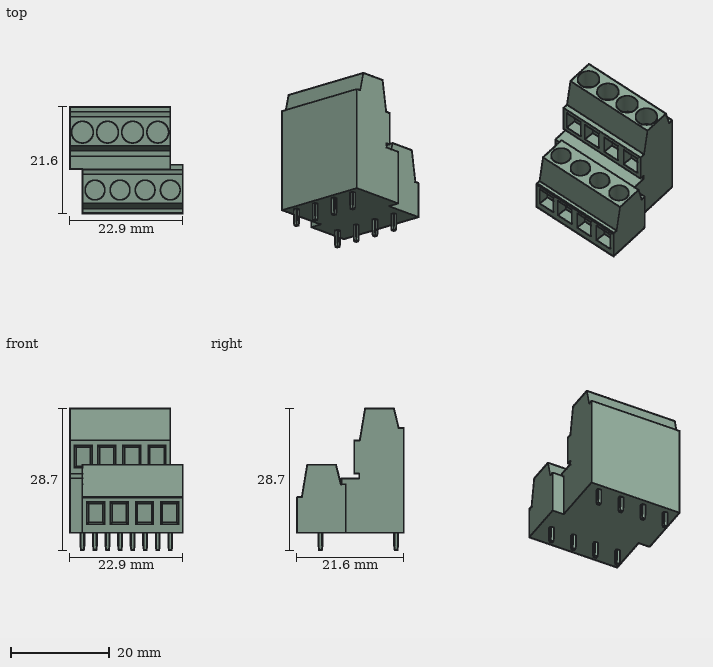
import cadquery as cq
import math


POLES = 4
PITCH = 5.08
TIER_WIDTH = POLES * PITCH
LOWER_TIER_X = PITCH / 2

TOTAL_DEPTH = 21.6
TOTAL_HEIGHT = 28.7
PIN_LENGTH = 3.47
UPPER_TOP_Z = TOTAL_HEIGHT - PIN_LENGTH
TIER_DROP = 11.4
LOWER_TOP_Z = UPPER_TOP_Z - TIER_DROP

TOWER_TOP_DEPTH = 5.85
TOWER_FRONT_RUN = 1.1
TOWER_FRONT_DROP = 6.51
TOWER_REAR_RUN = 0.98
TOWER_REAR_DROP = 4.0
REAR_SHOULDER = 1.0

UPPER_FACE_SHOULDER = 1.1
UPPER_FACE_HEIGHT = 6.72
FACE_OVERHANG = 0.98
LEDGE_Y = 9.0
LEDGE_Z = 11.05

LOWER_FACE_SHOULDER = 0.98
LOWER_FACE_CHAMFER = 0.2

UPPER_SCREW_DIAMETER = 4.4
LOWER_SCREW_DIAMETER = 4.0
SCREW_SETBACK = 3.8
SCREW_DEPTH = 5.0

OPENING_WIDTH = 3.62
OPENING_HEIGHT = 4.55
OPENING_DEPTH = 2.0
OPENING_INSET = 0.37
OPENING_TAPER = math.degrees(math.atan(OPENING_INSET / OPENING_DEPTH))
OPENING_BELOW_SHOULDER = 1.0
OPENING_SHIFT = 0.15

PIN_SIDE = 0.9
PIN_EDGE_CHAMFER = 0.15
PIN_TIP_LENGTH = 1.0
PIN_TIP_INSET = 0.15
PIN_TIP_TAPER = math.degrees(math.atan(PIN_TIP_INSET / PIN_TIP_LENGTH))
UPPER_PIN_Y = 20.05
LOWER_PIN_Y = 4.75

UPPER_SHOULDER_Z = UPPER_TOP_Z - TOWER_FRONT_DROP
LOWER_SHOULDER_Z = LOWER_TOP_Z - TOWER_FRONT_DROP
TOWER_DEPTH = TOWER_FRONT_RUN + TOWER_TOP_DEPTH + TOWER_REAR_RUN
UPPER_TOWER_Y = TOTAL_DEPTH - REAR_SHOULDER - TOWER_DEPTH
UPPER_FACE_Y = UPPER_TOWER_Y - UPPER_FACE_SHOULDER
LOWER_TOWER_Y = LOWER_FACE_SHOULDER
LOWER_REAR_Y = LOWER_TOWER_Y + TOWER_DEPTH + REAR_SHOULDER


def pole_x(tier_x, pole):
    return tier_x + (pole + 0.5) * PITCH


def tower_points(tower_y, top_z):
    """Side outline of a tower, from the foot of its front slope to the foot of its rear slope."""
    top_y = tower_y + TOWER_FRONT_RUN
    return [
        (tower_y, top_z - TOWER_FRONT_DROP),
        (top_y, top_z),
        (top_y + TOWER_TOP_DEPTH, top_z),
        (tower_y + TOWER_DEPTH, top_z - TOWER_REAR_DROP),
    ]


def tier_block(tier_x, outline):
    return cq.Workplane("YZ", origin=(tier_x, 0, 0)).polyline(outline).close().extrude(TIER_WIDTH)


def upper_tier():
    face_bottom_z = UPPER_SHOULDER_Z - UPPER_FACE_HEIGHT
    recess_y = UPPER_FACE_Y + FACE_OVERHANG
    outline = [
        (LEDGE_Y, 0),
        (LEDGE_Y, LEDGE_Z),
        (recess_y, LEDGE_Z),
        (recess_y, face_bottom_z),
        (UPPER_FACE_Y, face_bottom_z),
        (UPPER_FACE_Y, UPPER_SHOULDER_Z),
        *tower_points(UPPER_TOWER_Y, UPPER_TOP_Z),
        (TOTAL_DEPTH, UPPER_TOP_Z - TOWER_REAR_DROP),
        (TOTAL_DEPTH, 0),
    ]
    return tier_block(0, outline)


def lower_tier():
    outline = [
        (0, 0),
        (0, LOWER_SHOULDER_Z - LOWER_FACE_CHAMFER),
        (LOWER_FACE_CHAMFER, LOWER_SHOULDER_Z),
        *tower_points(LOWER_TOWER_Y, LOWER_TOP_Z),
        (LOWER_REAR_Y, LOWER_TOP_Z - TOWER_REAR_DROP),
        (LOWER_REAR_Y, 0),
    ]
    return tier_block(LOWER_TIER_X, outline)


def screw_holes(tier_x, tower_y, top_z, diameter):
    centers = [(pole_x(tier_x, pole), tower_y + SCREW_SETBACK) for pole in range(POLES)]
    top = cq.Workplane("XY", origin=(0, 0, top_z))
    return top.pushPoints(centers).circle(diameter / 2).extrude(-SCREW_DEPTH)


def wire_openings(tier_x, face_y, shoulder_z):
    center_z = shoulder_z - OPENING_BELOW_SHOULDER - OPENING_HEIGHT / 2
    openings = cq.Workplane("XZ")
    for pole in range(POLES):
        shift = OPENING_SHIFT if pole == 0 else -OPENING_SHIFT
        mouth = cq.Workplane("XZ", origin=(pole_x(tier_x, pole) + shift, face_y, center_z))
        opening = mouth.rect(OPENING_WIDTH, OPENING_HEIGHT).extrude(-OPENING_DEPTH, taper=OPENING_TAPER)
        openings = openings.add(opening)
    return openings.combine()


def make_housing():
    body = upper_tier().union(lower_tier())
    body = body.cut(screw_holes(0, UPPER_TOWER_Y, UPPER_TOP_Z, UPPER_SCREW_DIAMETER))
    body = body.cut(screw_holes(LOWER_TIER_X, LOWER_TOWER_Y, LOWER_TOP_Z, LOWER_SCREW_DIAMETER))
    body = body.cut(wire_openings(0, UPPER_FACE_Y, UPPER_SHOULDER_Z))
    return body.cut(wire_openings(LOWER_TIER_X, 0, LOWER_SHOULDER_Z))


def make_pin(x, y):
    """Square pin with bevelled long edges and a tapered tip, hanging from the housing underside."""
    shank_length = PIN_LENGTH - PIN_TIP_LENGTH
    shank = cq.Workplane("XY").rect(PIN_SIDE, PIN_SIDE).extrude(-shank_length)
    tip_plane = cq.Workplane("XY", origin=(0, 0, -shank_length))
    tip = tip_plane.rect(PIN_SIDE, PIN_SIDE).extrude(-PIN_TIP_LENGTH, taper=PIN_TIP_TAPER)
    bevelled_bar = cq.Workplane("XY").rect(PIN_SIDE, PIN_SIDE).extrude(-PIN_LENGTH)
    bevelled_bar = bevelled_bar.edges("|Z").chamfer(PIN_EDGE_CHAMFER)
    return shank.union(tip).intersect(bevelled_bar).translate((x, y, 0))


housing = make_housing()

pins = []
for tier_x, pin_y in [(0, UPPER_PIN_Y), (LOWER_TIER_X, LOWER_PIN_Y)]:
    for pole in range(POLES):
        pins.append(make_pin(pole_x(tier_x, pole), pin_y).val())

result = cq.Compound.makeCompound([housing.val(), *pins])